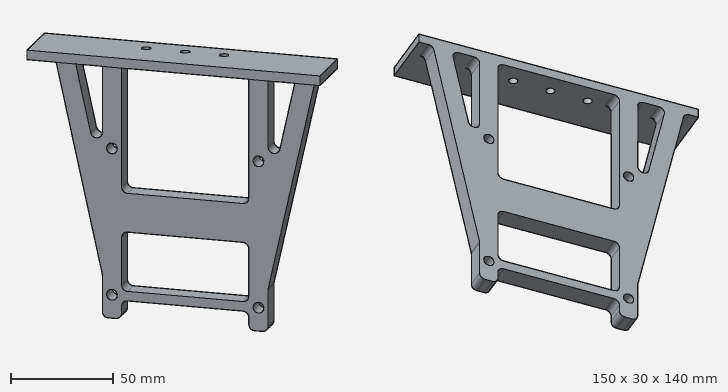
import cadquery as cq

plate_length = 150.0
plate_depth = 30.0
plate_thickness = 5.0
total_height = 140.0

frame_thickness = 10.0
frame_top_half_width = 67.5
leg_outer_x = 42.5
leg_inner_x = 32.5
brace_width = 10.0
corner_radius = 3.0

frame_hole_diameter = 5.4
frame_hole_x = (leg_outer_x + leg_inner_x) / 2
frame_hole_pitch = 75.0
foot_below_hole = 12.0
taper_end_above_hole = 10.0
lower_hole_z = foot_below_hole - total_height
upper_hole_z = lower_hole_z + frame_hole_pitch

rail_thickness = 5.0
rail_bottom_z = lower_hole_z - rail_thickness / 2
rail_top_z = lower_hole_z + rail_thickness / 2
lower_window_height = 30.3
web_height = 20.0
lower_window_top_z = rail_top_z + lower_window_height
web_top_z = lower_window_top_z + web_height
taper_end_z = lower_hole_z + taper_end_above_hole
plate_bottom_z = -plate_thickness

plate_hole_diameter = 4.5
plate_hole_pitch = 20.0
plate_hole_count = 3


def extrude_back_to_front(profile):
    """Extrude an XZ profile from Y = 0 to the front face of the frame."""
    return profile.extrude(frame_thickness)


def make_window(bottom_z, top_z):
    """Rounded rectangular opening between the legs."""
    plane = cq.Workplane("XZ").center(0, (bottom_z + top_z) / 2)
    profile = plane.rect(2 * leg_inner_x, top_z - bottom_z)
    return extrude_back_to_front(profile).edges("|Y").fillet(corner_radius)


def make_side_slot():
    """Rounded triangular opening between the right leg and its sloping brace."""
    taper_slope = (frame_top_half_width - leg_outer_x) / (plate_bottom_z - taper_end_z)
    slot_top_x = frame_top_half_width - brace_width
    apex_z = plate_bottom_z - (slot_top_x - leg_outer_x) / taper_slope
    corners = [
        (leg_outer_x, plate_bottom_z),
        (slot_top_x, plate_bottom_z),
        (leg_outer_x, apex_z),
    ]
    profile = cq.Workplane("XZ").polyline(corners).close()
    return extrude_back_to_front(profile).edges("|Y").fillet(corner_radius)


def make_body():
    """Plate and frame outline, with rounded feet, bends and rounded inside corners."""
    right_outline = [
        (leg_inner_x, rail_bottom_z),
        (leg_inner_x, -total_height),
        (leg_outer_x, -total_height),
        (leg_outer_x, taper_end_z),
        (frame_top_half_width, plate_bottom_z),
    ]
    left_outline = [(-x, z) for x, z in reversed(right_outline)]
    profile = cq.Workplane("XZ").polyline(right_outline + left_outline).close()
    frame = extrude_back_to_front(profile)

    lower_zone = cq.selectors.BoxSelector(
        (-plate_length, -plate_depth, -total_height - corner_radius),
        (plate_length, plate_depth, taper_end_z + corner_radius),
    )
    frame = frame.edges("|Y").edges(lower_zone).fillet(corner_radius)

    plate = cq.Workplane("XY").box(
        plate_length, plate_depth, plate_thickness, centered=(True, False, False)
    )
    plate = plate.translate((0, -plate_depth, plate_bottom_z))
    body = plate.union(frame)

    for side in (-1, 1):
        corner = (side * frame_top_half_width, -frame_thickness / 2, plate_bottom_z)
        body = body.edges(cq.selectors.NearestToPointSelector(corner)).fillet(corner_radius)
    return body


def make_frame_holes():
    centres = [(side * frame_hole_x, z) for side in (-1, 1) for z in (lower_hole_z, upper_hole_z)]
    profile = cq.Workplane("XZ").pushPoints(centres).circle(frame_hole_diameter / 2)
    return extrude_back_to_front(profile)


def make_plate_holes():
    row = cq.Workplane("XY").center(0, -frame_thickness).rarray(plate_hole_pitch, 1.5, plate_hole_count, 1)
    return row.circle(plate_hole_diameter / 2).extrude(-plate_thickness)


side_slot = make_side_slot()
result = (
    make_body()
    .cut(make_window(rail_top_z, lower_window_top_z))
    .cut(make_window(web_top_z, plate_bottom_z))
    .cut(side_slot)
    .cut(side_slot.mirror("YZ"))
    .cut(make_frame_holes())
    .cut(make_plate_holes())
)